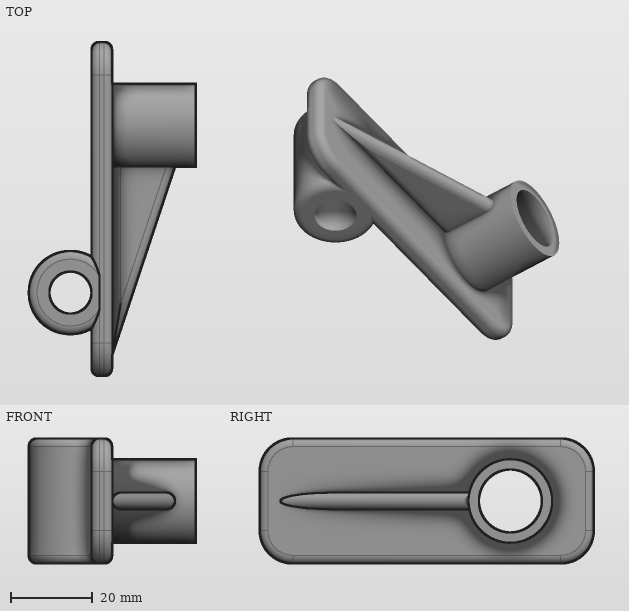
import cadquery as cq
import math

PLATE_LENGTH = 81.7
PLATE_HEIGHT = 30.6
PLATE_THICKNESS = PLATE_HEIGHT / 6
CORNER_RADIUS = 8.2
EDGE_RADIUS = 2.05

BARREL_DIAMETER = 20.4
BARREL_BORE = BARREL_DIAMETER / 2
BARREL_X = BARREL_DIAMETER / 2
BARREL_Y = PLATE_LENGTH / 4

PLATE_BACK_X = BARREL_DIAMETER
PLATE_FRONT_X = PLATE_BACK_X - PLATE_THICKNESS

BOSS_DIAMETER = 20.4
BOSS_LENGTH = 20.4
BOSS_BORE = 0.75 * BOSS_DIAMETER
BOSS_Y = 3 * PLATE_LENGTH / 4
MID_Z = PLATE_HEIGHT / 2

RIB_THICKNESS = 4.1
RIB_TIP_Y = PLATE_THICKNESS
RIB_TOP_Y = BOSS_Y - BOSS_DIAMETER / 2
RIB_WIDTH = 0.75 * BOSS_LENGTH
RIB_LEAN = math.degrees(math.atan2(RIB_WIDTH, RIB_TOP_Y - RIB_TIP_Y))


def x_cylinder(diameter, start_x, end_x):
    """Cylinder along X on the axis of the boss."""
    return (
        cq.Workplane("YZ", origin=(start_x, BOSS_Y, MID_Z))
        .circle(diameter / 2)
        .extrude(end_x - start_x)
    )


def make_plate():
    """Rounded plate with its boss, bored through together."""
    boss_end_x = PLATE_BACK_X + BOSS_LENGTH
    plate = (
        cq.Workplane("YZ", origin=(PLATE_FRONT_X, PLATE_LENGTH / 2, MID_Z))
        .rect(PLATE_LENGTH, PLATE_HEIGHT)
        .extrude(PLATE_THICKNESS)
        .edges("|X")
        .fillet(CORNER_RADIUS)
        .faces("<X or >X")
        .edges()
        .fillet(EDGE_RADIUS)
    )
    boss = x_cylinder(BOSS_DIAMETER, PLATE_BACK_X, boss_end_x)
    return plate.union(boss).cut(x_cylinder(BOSS_BORE, PLATE_FRONT_X, boss_end_x))


def make_barrel(plate):
    """Bored barrel with rounded rims, trimmed to sit against the plate."""
    barrel = (
        cq.Workplane("XY", origin=(BARREL_X, BARREL_Y, 0))
        .circle(BARREL_DIAMETER / 2)
        .extrude(PLATE_HEIGHT)
        .edges("%CIRCLE")
        .fillet(EDGE_RADIUS)
    )
    kept_width = PLATE_FRONT_X + EDGE_RADIUS
    kept_side = cq.Workplane("XY").box(kept_width, PLATE_LENGTH, PLATE_HEIGHT, centered=False)
    bore = (
        cq.Workplane("XY", origin=(BARREL_X, BARREL_Y, 0))
        .circle(BARREL_BORE / 2)
        .extrude(PLATE_HEIGHT)
    )
    return barrel.intersect(kept_side).cut(plate).cut(bore)


def rounded_edge_slab(lean, side):
    """Long slab whose edge starts at the rib tip and leans from Y towards X.

    The slab lies on the +X side of that edge for side = 1, on the -X side for -1.
    """
    radius = RIB_THICKNESS / 2
    far_x = side * PLATE_LENGTH
    return (
        cq.Workplane("XZ")
        .moveTo(side * radius, -radius)
        .threePointArc((0, 0), (side * radius, radius))
        .lineTo(far_x, radius)
        .lineTo(far_x, -radius)
        .close()
        .extrude(PLATE_LENGTH, both=True)
        .rotate((0, 0, 0), (0, 0, 1), -lean)
        .translate((PLATE_BACK_X, RIB_TIP_Y, MID_Z))
    )


def make_rib():
    """Wedge between two rounded edges, ended on the outside of the boss."""
    wedge = rounded_edge_slab(0, 1).intersect(rounded_edge_slab(RIB_LEAN, -1))
    below_boss_axis = cq.Workplane("XY").box(PLATE_LENGTH, BOSS_Y, PLATE_HEIGHT, centered=False)
    boss_outside = x_cylinder(BOSS_DIAMETER, PLATE_FRONT_X, PLATE_BACK_X + BOSS_LENGTH)
    return wedge.intersect(below_boss_axis).cut(boss_outside)


plate = make_plate()
barrel = make_barrel(plate)
rib = make_rib()

result = cq.Compound.makeCompound([*plate.vals(), *barrel.vals(), *rib.vals()])